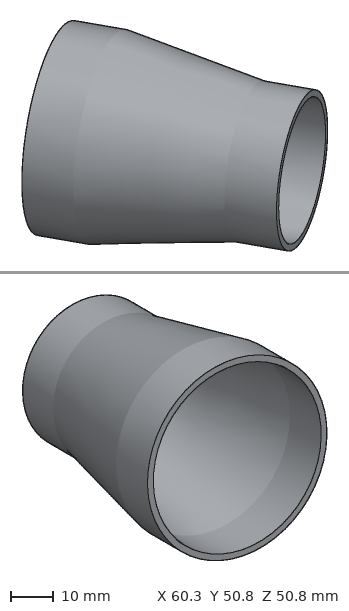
import cadquery as cq

total_length = 60.33
collar_length = 12.7
wide_diameter = 50.8
narrow_diameter = 38.1
wall_thickness = 1.65

taper_start = collar_length
taper_end = total_length - collar_length


def reducer_body(wide_radius, narrow_radius):
    """Solid of revolution about X: wide collar, straight taper, narrow collar."""
    return (
        cq.Workplane("XZ")
        .moveTo(0, 0)
        .lineTo(0, wide_radius)
        .lineTo(taper_start, wide_radius)
        .lineTo(taper_end, narrow_radius)
        .lineTo(total_length, narrow_radius)
        .lineTo(total_length, 0)
        .close()
        .revolve(360, (0, 0, 0), (1, 0, 0))
    )


wide_radius = wide_diameter / 2
narrow_radius = narrow_diameter / 2

outer_body = reducer_body(wide_radius, narrow_radius)
bore = reducer_body(wide_radius - wall_thickness, narrow_radius - wall_thickness)

result = outer_body.cut(bore)